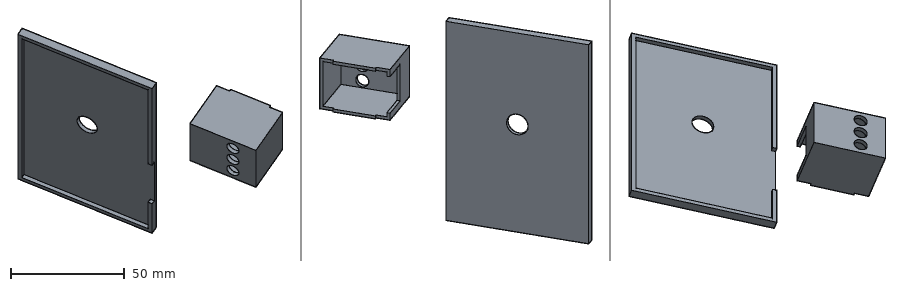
import cadquery as cq

PLATE_WIDTH = 67.0
PLATE_HEIGHT = 98.0
PLATE_THICKNESS = 4.0
RIM_WIDTH = 2.0
RIM_DEPTH = 2.0
PLATE_HOLE_DIAMETER = 10.0
PLATE_HOLE_Z = 53.0
RIM_GAP_BOTTOM = 20.0
RIM_GAP_HEIGHT = 26.0

OVERALL_WIDTH = 117.71
HOUSING_WIDTH = 33.0
HOUSING_DEPTH = 25.0
HOUSING_HEIGHT = 25.0
HOUSING_LEFT = OVERALL_WIDTH - HOUSING_WIDTH
HOUSING_FRONT = 2.0
HOUSING_BOTTOM = 57.0
WALL = 1.5
FRONT_WALL = 2.0
HOUSING_BACK = HOUSING_FRONT + HOUSING_DEPTH
HOUSING_MID_X = HOUSING_LEFT + HOUSING_WIDTH / 2
HOUSING_MID_Z = HOUSING_BOTTOM + HOUSING_HEIGHT / 2

TONGUE_WIDTH = 20.0
TONGUE_LENGTH = 1.0

WINDOW_HEIGHT = 18.0
WINDOW_DEPTH = 13.0

FRONT_HOLE_DIAMETER = 6.0
FRONT_HOLE_PITCH = 7.5
FRONT_HOLE_X = HOUSING_LEFT + 21.5


def block(x, y, z, width, depth, height):
    """Box with its lowest corner at (x, y, z)."""
    return cq.Workplane("XY").box(width, depth, height, centered=False).translate((x, y, z))


def hole_along_y(x, z, diameter, start_y, length):
    """Cylinder that runs along +Y from start_y."""
    axis_start = cq.Vector(x, start_y, z)
    return cq.Workplane(cq.Solid.makeCylinder(diameter / 2, length, axis_start, cq.Vector(0, 1, 0)))


def make_cover_plate():
    plate = block(0, 0, 0, PLATE_WIDTH, PLATE_THICKNESS, PLATE_HEIGHT)
    recess = block(
        RIM_WIDTH, 0, RIM_WIDTH,
        PLATE_WIDTH - 2 * RIM_WIDTH, RIM_DEPTH, PLATE_HEIGHT - 2 * RIM_WIDTH,
    )
    rim_gap = block(
        PLATE_WIDTH - RIM_WIDTH, 0, RIM_GAP_BOTTOM,
        RIM_WIDTH, RIM_DEPTH, RIM_GAP_HEIGHT,
    )
    hole = hole_along_y(PLATE_WIDTH / 2, PLATE_HOLE_Z, PLATE_HOLE_DIAMETER, 0, PLATE_THICKNESS)
    return plate.cut(recess).cut(rim_gap).cut(hole)


def make_housing():
    shell = block(
        HOUSING_LEFT, HOUSING_FRONT, HOUSING_BOTTOM,
        HOUSING_WIDTH, HOUSING_DEPTH, HOUSING_HEIGHT,
    )
    cavity = block(
        HOUSING_LEFT + WALL, HOUSING_FRONT + FRONT_WALL, HOUSING_BOTTOM + WALL,
        HOUSING_WIDTH - 2 * WALL, HOUSING_DEPTH - FRONT_WALL, HOUSING_HEIGHT - 2 * WALL,
    )
    window = block(
        HOUSING_LEFT, HOUSING_BACK - WINDOW_DEPTH, HOUSING_MID_Z - WINDOW_HEIGHT / 2,
        WALL, WINDOW_DEPTH, WINDOW_HEIGHT,
    )
    shell = shell.cut(cavity).cut(window)

    for row in (-1, 0, 1):
        hole_z = HOUSING_MID_Z + row * FRONT_HOLE_PITCH
        hole = hole_along_y(FRONT_HOLE_X, hole_z, FRONT_HOLE_DIAMETER, HOUSING_FRONT, FRONT_WALL)
        shell = shell.cut(hole)

    for tongue_z in (HOUSING_BOTTOM, HOUSING_BOTTOM + HOUSING_HEIGHT - WALL):
        tongue = block(
            HOUSING_MID_X - TONGUE_WIDTH / 2, HOUSING_BACK - WALL, tongue_z,
            TONGUE_WIDTH, WALL + TONGUE_LENGTH, WALL,
        )
        shell = shell.union(tongue)
    return shell


cover_plate = make_cover_plate()
housing = make_housing()

result = cq.Compound.makeCompound([cover_plate.val(), housing.val()])